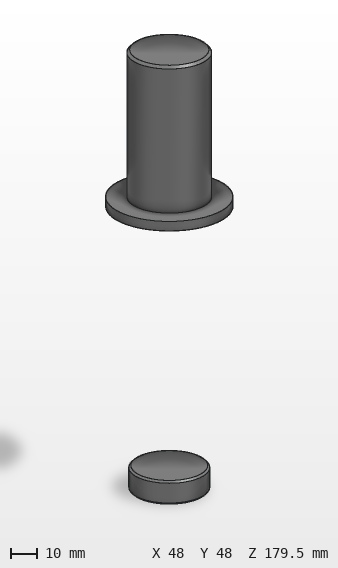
import cadquery as cq

total_height = 179.5

flange_diameter = 48.0
flange_thickness = 4.0
pin_diameter = 32.0
pin_height = 63.9
pin_chamfer = 1.0

disc_diameter = 30.5
disc_thickness = 9.7
disc_chamfer = 0.8


def make_headed_pin():
    """Cylindrical pin with a flange at its foot and a chamfered top edge."""
    flange = cq.Workplane("XY").circle(flange_diameter / 2).extrude(flange_thickness)
    shank = cq.Workplane("XY").circle(pin_diameter / 2).extrude(pin_height)
    shank = shank.faces(">Z").edges().chamfer(pin_chamfer)
    return flange.union(shank).translate((0, 0, total_height - pin_height))


def make_disc():
    """Flat disc chamfered on both rims."""
    disc = cq.Workplane("XY").circle(disc_diameter / 2).extrude(disc_thickness)
    return disc.edges("%CIRCLE").chamfer(disc_chamfer)


headed_pin = make_headed_pin()
disc = make_disc()

result = cq.Compound.makeCompound([headed_pin.val(), disc.val()])